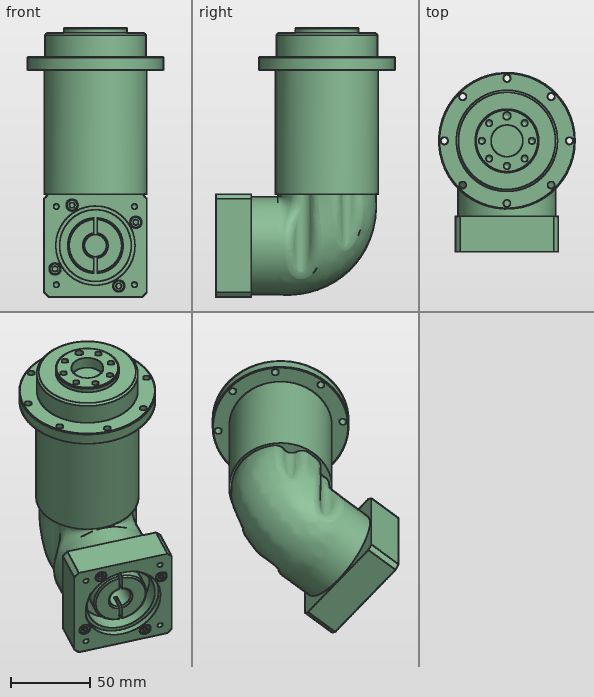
import cadquery as cq
import math


plate_side = 65.0
plate_half = plate_side / 2
total_height = 170
top_z = total_height - plate_half
shaft_flange_height = 3.4
shoulder_z = top_z - shaft_flange_height
flange_setback = 18.5
flange_top_z = top_z - flange_setback
flange_thickness = 8.5
flange_bottom_z = flange_top_z - flange_thickness
body_bottom_z = plate_half
body_radius = plate_half
shoulder_radius = 32.0
shoulder_chamfer = 1.4
flange_radius = 43.0
flange_chamfer = 0.5
flange_hole_count = 8
flange_hole_circle = 39.5
flange_hole_diameter = 4.5

drill_point_angle = 118

shaft_flange_radius = 20.0
shaft_flange_chamfer = 0.7
shaft_bore_diameter = 20.0
shaft_bore_depth = 8.0
shaft_hole_count = 8
shaft_hole_circle = 15.8
shaft_thread_diameter = 4.0
shaft_pin_diameter = 5.0
shaft_pin_index = 2
shaft_hole_depth = 8.5

elbow_radius = 31.0
bend_center = 23.8
bend_outer_radius = bend_center + elbow_radius
bend_section_angles = (22.5, 45, 67.5)
hinge_gap = 0.2
hinge = elbow_radius + hinge_gap
groove_radius = 5.6
groove_centers = [(29.2, -15.3), (28.0, 14.5)]
groove_rim_fillet = 6.8

plate_front_y = -70.0
plate_thickness = 22.5
plate_back_y = plate_front_y + plate_thickness
plate_corner_radius = 43.9
pilot_radius = 25.0
pilot_depth = 4.0
recess_radius = 22.6
recess_depth = 15.3
corner_hole_offset = 24.6
corner_hole_diameter = 3.4
corner_hole_depth = 10.2
screw_circle = 29.4
screw_start_angle = 30
screw_count = 4
counterbore_diameter = 7.5
counterbore_depth = 4.5
screw_head_diameter = 6.5
screw_head_sink = 0.5
socket_across_corners = 3.7
socket_depth = 2.0

hub_radius = 17.5
hub_sink = 5.0
hub_chamfer = 1.0
hub_bore_radius = 7.0
hub_bore_chamfer = 1.0
hub_bore_depth = 20.4
hub_slit_width = 2.0


def upright_disc(radius, bottom_z, height):
    return cq.Workplane("XY", origin=(0, 0, bottom_z)).circle(radius).extrude(height)


def input_plane(sink=0.0):
    """Plane parallel to the input face, sunk below it; its normal points out of the part."""
    return cq.Workplane("XZ", origin=(0, plate_front_y + sink, 0))


def drilled_hole(opening, inward, diameter, depth):
    """Blind hole with a drill point, as a body to cut away."""
    radius = diameter / 2
    shank = cq.Solid.makeCylinder(radius, depth, opening, inward)
    tip_length = radius / math.tan(math.radians(drill_point_angle / 2))
    tip = cq.Solid.makeCone(radius, 0, tip_length, opening + inward * depth, inward)
    return cq.Workplane(shank).union(cq.Workplane(tip))


def make_housing():
    body = upright_disc(body_radius, body_bottom_z, flange_bottom_z - body_bottom_z)
    flange = upright_disc(flange_radius, flange_bottom_z, flange_thickness).edges().chamfer(flange_chamfer)
    flange = (
        flange.faces(">Z").workplane()
        .polarArray(flange_hole_circle, 0, 360, flange_hole_count)
        .hole(flange_hole_diameter)
    )
    shoulder = upright_disc(shoulder_radius, flange_top_z, shoulder_z - flange_top_z)
    shoulder = shoulder.faces(">Z").edges().chamfer(shoulder_chamfer)
    shaft_flange = upright_disc(shaft_flange_radius, shoulder_z, shaft_flange_height)
    shaft_flange = shaft_flange.faces(">Z").edges().chamfer(shaft_flange_chamfer)
    return body.union(flange).union(shoulder).union(shaft_flange)


def cut_shaft_holes(part):
    top = cq.Workplane("XY", origin=(0, 0, top_z))
    part = part.cut(top.circle(shaft_bore_diameter / 2).extrude(-shaft_bore_depth))
    down = cq.Vector(0, 0, -1)
    for index in range(shaft_hole_count):
        angle = 2 * math.pi * index / shaft_hole_count
        opening = cq.Vector(shaft_hole_circle * math.cos(angle), shaft_hole_circle * math.sin(angle), top_z)
        diameter = shaft_pin_diameter if index == shaft_pin_index else shaft_thread_diameter
        part = part.cut(drilled_hole(opening, down, diameter, shaft_hole_depth))
    return part


def bend_section(angle):
    """Section of the elbow on a plane hinged about the inner corner, turned down from level by angle."""
    turn = math.radians(angle)
    outward = cq.Vector(0, math.cos(turn), -math.sin(turn))
    hinge_offset = hinge - bend_center
    along = hinge_offset * (math.cos(turn) + math.sin(turn))
    across = hinge_offset * (math.cos(turn) - math.sin(turn))
    outer_reach = along + math.sqrt(bend_outer_radius**2 - across**2)
    half_depth = (outer_reach - hinge_gap) / 2
    center = cq.Vector(0, -hinge, hinge) + outward * (hinge_gap + half_depth)
    plane = cq.Plane(center, outward, cq.Vector(0, math.sin(turn), math.cos(turn)))
    return cq.Workplane(plane).ellipse(half_depth, elbow_radius).val()


def make_elbow():
    """Round pipe turning from -Z to -Y around a tight inner corner, with grooved flanks."""
    upper_end = cq.Workplane(cq.Plane((0, 0, hinge), (0, 1, 0), (0, 0, 1))).circle(elbow_radius)
    lower_end = cq.Workplane(cq.Plane((0, -hinge, 0), (0, 0, -1), (0, 1, 0))).circle(elbow_radius)
    sections = [upper_end.val()]
    sections += [bend_section(angle) for angle in bend_section_angles]
    sections.append(lower_end.val())
    bend = cut_grooves(cq.Workplane(cq.Solid.makeLoft(sections)))
    collar = bend.faces(">Z").wires().toPending().extrude(body_bottom_z - hinge)
    level = (
        cq.Workplane("XZ", origin=(0, -hinge, 0))
        .circle(elbow_radius).extrude(-hinge - plate_back_y)
    )
    return collar.union(level)


def cut_grooves(bend):
    """Upright clearance grooves on both flanks of the bend, with rounded rims."""
    for x, y in groove_centers:
        for side in (-1, 1):
            groove = (
                cq.Workplane("XY", origin=(side * x, y, -plate_half))
                .circle(groove_radius).extrude(plate_side)
            )
            bend = bend.cut(groove)
    return bend.faces("%CYLINDER").edges("%BSPLINE").fillet(groove_rim_fillet)


def make_plate():
    plate = input_plane().rect(plate_side, plate_side).extrude(-plate_thickness)
    corner_trim = input_plane().circle(plate_corner_radius).extrude(-plate_thickness)
    return plate.intersect(corner_trim)


def cut_input_face(part):
    part = part.cut(input_plane().circle(pilot_radius).extrude(-pilot_depth))
    part = part.cut(input_plane().circle(recess_radius).extrude(-recess_depth))
    inward = cq.Vector(0, 1, 0)
    for x in (-corner_hole_offset, corner_hole_offset):
        for z in (-corner_hole_offset, corner_hole_offset):
            opening = cq.Vector(x, plate_front_y, z)
            part = part.cut(drilled_hole(opening, inward, corner_hole_diameter, corner_hole_depth))
    return part


def screw_places(sink):
    return input_plane(sink).polarArray(screw_circle, screw_start_angle, 360, screw_count)


def add_screws(part):
    part = part.cut(screw_places(0).circle(counterbore_diameter / 2).extrude(-counterbore_depth))
    head_height = counterbore_depth - screw_head_sink
    heads = screw_places(screw_head_sink).circle(screw_head_diameter / 2).extrude(-head_height)
    sockets = screw_places(screw_head_sink).polygon(6, socket_across_corners).extrude(-socket_depth)
    return part.union(heads.cut(sockets))


def add_clamping_hub(part):
    hub = input_plane(hub_sink).circle(hub_radius).extrude(hub_sink - recess_depth)
    hub = hub.faces("<Y").edges().chamfer(hub_chamfer)
    part = part.union(hub)
    bore = input_plane(hub_sink).circle(hub_bore_radius).extrude(-hub_bore_depth)
    mouth = cq.Workplane(cq.Solid.makeCone(
        hub_bore_radius + hub_bore_chamfer, hub_bore_radius, hub_bore_chamfer,
        cq.Vector(0, plate_front_y + hub_sink, 0), cq.Vector(0, 1, 0),
    ))
    slit = input_plane(hub_sink).rect(hub_slit_width, 2 * hub_radius).extrude(hub_sink - recess_depth)
    return part.cut(bore).cut(mouth).cut(slit)


housing = cut_shaft_holes(make_housing())
part = housing.union(make_elbow()).union(make_plate())
part = cut_input_face(part)
part = add_screws(part)
result = add_clamping_hub(part)